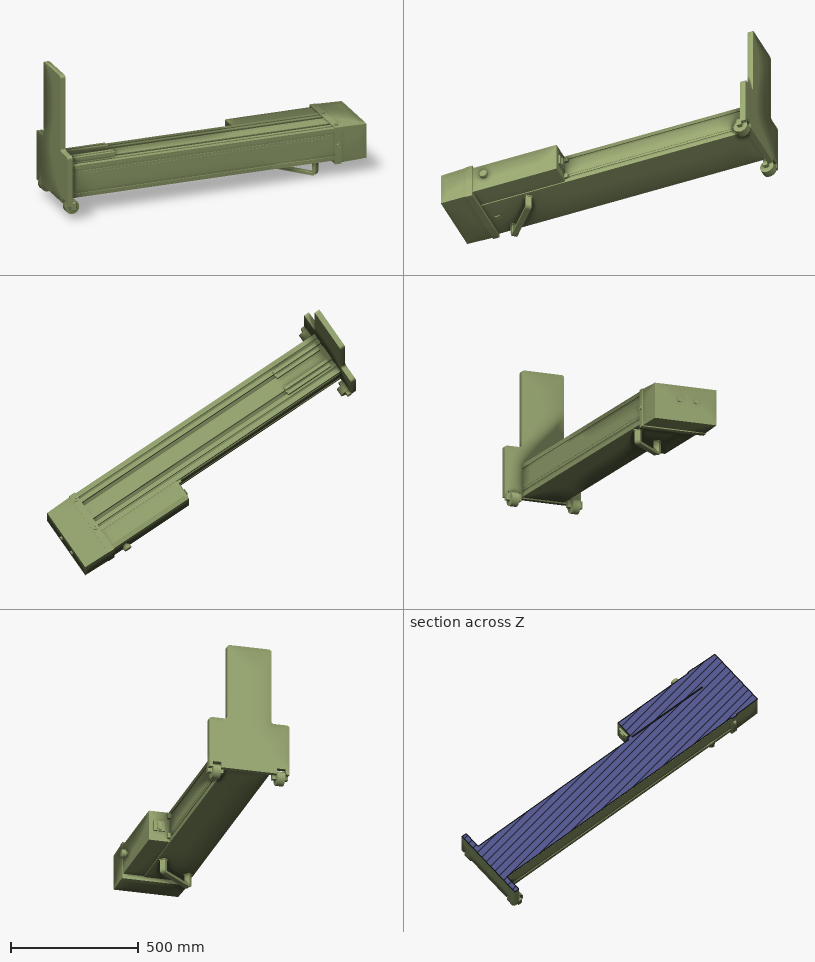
import cadquery as cq


plate_width = 328.0
plate_thickness = 22.0
plate_top = 519.0
plate_bottom = -5.0
plate_shoulder = 204.0
plate_neck_width = 181.0
plate_corner = 10.0

wheel_x = 131.0
wheel_diameter = 57.0
wheel_width = 31.0
wheel_z = -14.0
wheel_gap = 3.0
bracket_width = 64.0
bracket_depth = 15.0
bracket_bottom = -21.0
bracket_top = 8.0

column_width = 182.0
column_height = 134.0
wide_slot_x = 39.0
wide_slot_width = 17.0
wide_slot_depth = 18.0
narrow_slot_x = 68.0
narrow_slot_width = 9.0
narrow_slot_depth = 10.0
side_slot_inset = 26.0
side_slot_width = 20.0
side_slot_depth = 1.0
side_slot_step = 3.0

rail_start = 43.0
rail_end = 246.0
rail_width = 33.0
rail_height = 20.0
rail_groove_width = 9.0
rail_groove_depth = 15.0

flange_left = -180.0
flange_right = 95.0
flange_bottom = -15.0
flange_top = 138.0
flange_start = 1158.0
flange_end = 1185.0
head_left = -178.0
head_right = 91.0
head_bottom = -12.0
head_top = 137.0
head_end = 1293.0
head_taper = 1.3
head_bump_positions = (-87.0, -17.0)
head_bump_z = 75.0
head_bump_diameter = 17.0
overall_length = 1300.0
bolt_diameter = 15.0
bolt_height = 7.0
bolt_socket_diameter = 8.0
bolt_socket_depth = 4.0
top_bolt_positions = (-69.0, 68.0)

box_left = -175.0
box_start = 800.0
box_bottom = 4.0
box_top = 131.0
box_bevel_drop = 4.0
box_bevel_side = 18.0
box_bevel_end = 12.0
socket_x = -135.0
socket_z = 65.0
socket_width = 45.0
socket_height = 42.0
socket_depth = 8.0
plug_width = 20.0
plug_height = 31.0
plug_depth = 13.0
tab_width = 10.0
tab_length = 15.0

knob_tip = -199.0
knob_y = 1104.0
knob_z = 66.0
knob_diameter = 33.0
knob_head_length = 15.0
knob_rounding = 4.0
knob_neck_diameter = 21.0

handle_y = 1025.0
handle_angle = 41.0
handle_length = 195.0
handle_width = 23.0
handle_leg = 15.0
handle_grip = 10.0
handle_bottom = -59.0
handle_corner = 15.0
handle_foot_margin = 5.0
handle_foot_height = 4.0

underside_pad_y = 1124.0
underside_pad_size = 22.0
underside_pad_height = 4.0

overlap = 3.0


def block(x_range, y_range, z_range):
    """Box given by its limits along each axis."""
    sizes = [high - low for low, high in (x_range, y_range, z_range)]
    corner = (x_range[0], y_range[0], z_range[0])
    return cq.Workplane("XY").box(*sizes, centered=False).translate(corner)


def centred(middle, size):
    """Limits of a stretch of the given size about its middle."""
    return middle - size / 2, middle + size / 2


def cylinder(start, direction, diameter, length):
    """Round bar from a start point along a direction."""
    solid = cq.Solid.makeCylinder(diameter / 2, length, cq.Vector(*start), cq.Vector(*direction))
    return cq.Workplane(obj=solid)


def foot_plate():
    """T-shaped plate with rounded corners and a notch for each wheel."""
    plate_span = (0, plate_thickness)
    base = block(centred(0, plate_width), plate_span, (plate_bottom, plate_shoulder))
    neck = block(centred(0, plate_neck_width), plate_span, (plate_bottom, plate_top))
    plate = base.union(neck).edges("|Y").edges("not <Z").fillet(plate_corner)
    notch_top = wheel_z + wheel_diameter / 2 + wheel_gap
    for x in (-wheel_x, wheel_x):
        notch = block(centred(x, wheel_width + 2 * wheel_gap), plate_span, (plate_bottom, notch_top))
        plate = plate.cut(notch)
    return plate


def wheel_unit(x):
    """Wheel carried by a bracket fixed behind the plate."""
    wheel_y = wheel_diameter / 2
    wheel = cylinder((x - wheel_width / 2, wheel_y, wheel_z), (1, 0, 0), wheel_diameter, wheel_width)
    bracket_span = (plate_thickness - overlap, plate_thickness + bracket_depth)
    bracket = block(centred(x, bracket_width), bracket_span, (bracket_bottom, bracket_top))
    return wheel.union(bracket)


def column():
    """Slotted profile reaching from the foot plate into the drive head."""
    span = (plate_thickness, flange_end)
    body = block(centred(0, column_width), span, (0, column_height))
    for side in (-1, 1):
        for slot_x, width, depth in (
            (wide_slot_x, wide_slot_width, wide_slot_depth),
            (narrow_slot_x, narrow_slot_width, narrow_slot_depth),
        ):
            slot_z = (column_height - depth, column_height)
            body = body.cut(block(centred(side * slot_x, width), span, slot_z))
        wall = side * column_width / 2
        for edge in (-1, 1):
            z = column_height / 2 + edge * (column_height / 2 - side_slot_inset)
            step_z = z + edge * side_slot_width / 4
            groove = block(centred(wall, 2 * side_slot_depth), span, centred(z, side_slot_width))
            step = block(
                centred(wall, 2 * (side_slot_depth + side_slot_step)),
                span,
                centred(step_z, side_slot_width / 2),
            )
            body = body.cut(groove).cut(step)
    return body


def guide_rail(x):
    """Grooved bar standing over one of the wide slots."""
    span = (rail_start, rail_end)
    top = column_height + rail_height
    rail = block(centred(x, rail_width), span, (column_height - overlap, top))
    return rail.cut(block(centred(x, rail_groove_width), span, (top - rail_groove_depth, top)))


def bolt(start, direction):
    """Bolt head with a round socket, standing on the surface at the given point."""
    axis = cq.Vector(*direction)
    seat = cq.Vector(*start)
    head_start = seat - axis * overlap
    socket_start = seat + axis * (bolt_height - bolt_socket_depth)
    head = cylinder(head_start.toTuple(), direction, bolt_diameter, bolt_height + overlap)
    return head.cut(cylinder(socket_start.toTuple(), direction, bolt_socket_diameter, bolt_socket_depth))


def drive_head():
    """Flange with bolts around it and a slightly tapered cover behind it."""
    head = block((flange_left, flange_right), (flange_start, flange_end), (flange_bottom, flange_top))
    cover_x = (head_left + head_right) / 2
    cover_z = (head_bottom + head_top) / 2
    cover = (
        cq.Workplane("XZ", origin=(cover_x, flange_end, cover_z))
        .rect(head_right - head_left, head_top - head_bottom)
        .extrude(flange_end - head_end, taper=head_taper)
    )
    head = head.union(cover)
    for x in head_bump_positions:
        start = (x, head_end - overlap, head_bump_z)
        head = head.union(cylinder(start, (0, 1, 0), head_bump_diameter, overall_length - start[1]))
    bolt_y = (flange_start + flange_end) / 2
    for x in top_bolt_positions:
        head = head.union(bolt((x, bolt_y, flange_top), (0, 0, 1)))
    return head.union(bolt((flange_right, bolt_y, cover_z), (1, 0, 0)))


def controller_box():
    """Box whose top falls away gently towards its outer side and its free end."""
    wall = -column_width / 2
    box = block((box_left, wall), (box_start, flange_start), (box_bottom, box_top))
    rim = box_top - box_bevel_drop
    outer_slope = (
        cq.Workplane("XZ", origin=(0, flange_start, 0))
        .polyline([(box_left, rim), (box_left, box_top), (box_left + box_bevel_side, box_top)])
        .close()
        .extrude(flange_start - box_start)
    )
    end_slope = (
        cq.Workplane("YZ", origin=(box_left, 0, 0))
        .polyline([(box_start, rim), (box_start, box_top), (box_start + box_bevel_end, box_top)])
        .close()
        .extrude(wall - box_left)
    )
    return box.cut(outer_slope).cut(end_slope)


def box_fittings():
    """Socket with its plug, and the tabs that hold the box in the column side grooves."""
    fittings = block(
        centred(socket_x, socket_width),
        (box_start - socket_depth, box_start + overlap),
        centred(socket_z, socket_height),
    )
    plug = block(
        centred(socket_x, plug_width),
        (box_start - plug_depth, box_start + overlap),
        centred(socket_z, plug_height),
    )
    fittings = fittings.union(plug)
    wall = -column_width / 2
    for z in (side_slot_inset, column_height - side_slot_inset):
        tab = block(
            (wall - tab_width, wall + overlap),
            (box_start - tab_length, box_start + overlap),
            centred(z, side_slot_width),
        )
        fittings = fittings.union(tab)
    return fittings


def knob():
    """Round knob with a softened outer rim on a thinner neck."""
    head = cylinder((knob_tip, knob_y, knob_z), (1, 0, 0), knob_diameter, knob_head_length)
    head = head.faces("<X").edges().fillet(knob_rounding)
    neck_start = knob_tip + knob_rounding
    neck_length = box_left + overlap - neck_start
    neck = cylinder((neck_start, knob_y, knob_z), (1, 0, 0), knob_neck_diameter, neck_length)
    return head.union(neck)


def handle():
    """U-shaped handle with small feet, turned about the vertical."""
    width_span = centred(0, handle_width)
    bow = block(centred(0, handle_length), width_span, (handle_bottom, overlap))
    bow = bow.edges("|Y and <Z").fillet(handle_corner)
    opening = block(
        centred(0, handle_length - 2 * handle_leg),
        width_span,
        (handle_bottom + handle_grip, overlap),
    )
    bow = bow.cut(opening)
    leg_x = (handle_length - handle_leg) / 2
    for x in (-leg_x, leg_x):
        foot = block(
            centred(x, handle_leg + handle_foot_margin),
            centred(0, handle_width + handle_foot_margin),
            (-handle_foot_height, overlap),
        )
        bow = bow.union(foot)
    return bow.rotate((0, 0, 0), (0, 0, 1), handle_angle).translate((0, handle_y, 0))


def underside_pad():
    """Small flat pad under the column near the drive head."""
    return block(
        centred(0, underside_pad_size),
        centred(underside_pad_y, underside_pad_size),
        (-underside_pad_height, overlap),
    )


result = foot_plate().union(column())
for side in (-1, 1):
    result = result.union(wheel_unit(side * wheel_x))
    result = result.union(guide_rail(side * wide_slot_x))
for piece in (drive_head(), controller_box(), box_fittings(), knob(), handle(), underside_pad()):
    result = result.union(piece)